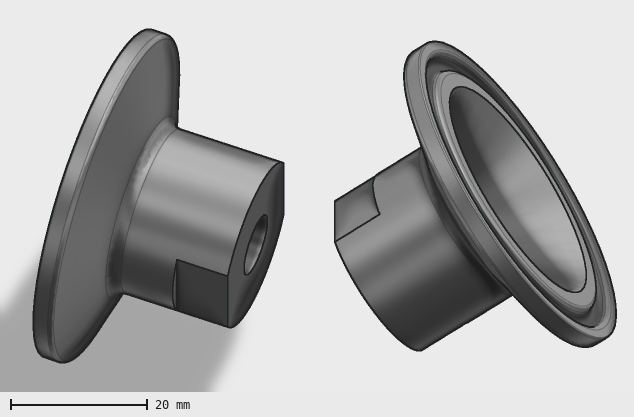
import cadquery as cq
import math

length = 25.0
flange_radius = 50.5 / 2
rim_thickness = 2.85
rear_slope = 20.0
rim_rear_fillet = 0.8
rim_front_fillet = 0.2

barrel_radius = 25.4 / 2
neck_fillet = 2.0
flats_width = 22.0
flats_length = 8.0

funnel_radius = 17.45
bore_radius = 4.6
funnel_depth = funnel_radius - bore_radius

groove_radius = 43.5 / 2
groove_bottom_round = 1.2
groove_lip_round = 0.8
groove_wall_angle = 70.0
groove_wall_length = 0.4


def make_blank():
    """Turned outside shape, solid throughout."""
    cone_rise = math.tan(math.radians(rear_slope))
    neck_x = rim_thickness + (flange_radius - barrel_radius) * cone_rise
    outline = (
        cq.Workplane("XZ")
        .moveTo(0, 0)
        .lineTo(0, flange_radius)
        .lineTo(rim_thickness, flange_radius)
        .lineTo(neck_x, barrel_radius)
        .lineTo(length, barrel_radius)
        .lineTo(length, 0)
        .close()
    )
    blank = outline.revolve(360, (0, 0, 0), (1, 0, 0))
    blank = round_circle(blank, 0, flange_radius, rim_front_fillet)
    blank = round_circle(blank, rim_thickness, flange_radius, rim_rear_fillet)
    return round_circle(blank, neck_x, barrel_radius, neck_fillet)


def round_circle(body, x, radius, fillet):
    """Fillet the circular edge of the given radius at axial position x."""
    margin = 0.01
    near = (x - margin, -radius - margin, -radius - margin)
    far = (x + margin, radius + margin, radius + margin)
    ring = cq.selectors.BoxSelector(near, far, boundingbox=True)
    return body.edges(ring).fillet(fillet)


def make_funnel_bore():
    """Conical inlet running into the cylindrical through bore."""
    return (
        cq.Workplane("XZ")
        .moveTo(0, 0)
        .lineTo(0, funnel_radius)
        .lineTo(funnel_depth, bore_radius)
        .lineTo(length, bore_radius)
        .lineTo(length, 0)
        .close()
        .revolve(360, (0, 0, 0), (1, 0, 0))
    )


def make_gasket_groove():
    """Ring of the groove, its section symmetric about the centre line."""
    wall = math.radians(groove_wall_angle)
    half_wall = wall / 2
    rounds = groove_bottom_round + groove_lip_round
    depth = rounds * (1 - math.cos(wall)) + groove_wall_length * math.sin(wall)
    half_width = rounds * math.sin(wall) + groove_wall_length * math.cos(wall)

    def lip_point(side, angle):
        x = groove_lip_round * (1 - math.cos(angle))
        return x, groove_radius + side * (half_width - groove_lip_round * math.sin(angle))

    def bottom_point(side, angle):
        x = depth - groove_bottom_round * (1 - math.cos(angle))
        return x, groove_radius + side * groove_bottom_round * math.sin(angle)

    return (
        cq.Workplane("XZ")
        .moveTo(*lip_point(1, 0))
        .threePointArc(lip_point(1, half_wall), lip_point(1, wall))
        .lineTo(*bottom_point(1, wall))
        .threePointArc(bottom_point(1, 0), bottom_point(-1, wall))
        .lineTo(*lip_point(-1, wall))
        .threePointArc(lip_point(-1, half_wall), lip_point(-1, 0))
        .close()
        .revolve(360, (0, 0, 0), (1, 0, 0))
    )


def cut_flats(body):
    """Cut two parallel wrench flats on the -Y and +Y sides of the barrel end."""
    for side in (-1, 1):
        cutter = cq.Workplane("XY").box(flats_length, barrel_radius, 2 * barrel_radius)
        offset = side * (flats_width + barrel_radius) / 2
        body = body.cut(cutter.translate((length - flats_length / 2, offset, 0)))
    return body


turned_part = make_blank().cut(make_funnel_bore()).cut(make_gasket_groove())
result = cut_flats(turned_part)